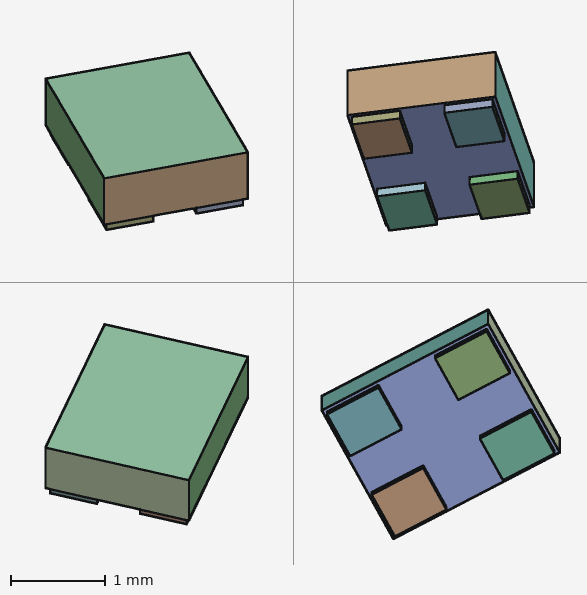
import cadquery as cq

housing_length = 2.0
housing_width = 1.6
total_height = 0.69

pad_length = 0.62
pad_width = 0.52
pad_height = 0.1
pad_inset = 0.04

housing_height = total_height - pad_height
pad_center_x = housing_length / 2 - pad_inset - pad_length / 2
pad_center_y = housing_width / 2 - pad_inset - pad_width / 2


def make_housing():
    """Plain block resting on top of the pads."""
    return (
        cq.Workplane("XY")
        .workplane(offset=pad_height)
        .rect(housing_length, housing_width)
        .extrude(housing_height)
    )


def make_pad(x, y):
    """Flat rectangular pad standing on Z = 0, centred at (x, y)."""
    return cq.Workplane("XY").center(x, y).rect(pad_length, pad_width).extrude(pad_height)


housing = make_housing()

pads = []
for x_side in (-1, 1):
    for y_side in (-1, 1):
        pads.append(make_pad(x_side * pad_center_x, y_side * pad_center_y).val())

result = cq.Compound.makeCompound([housing.val(), *pads])